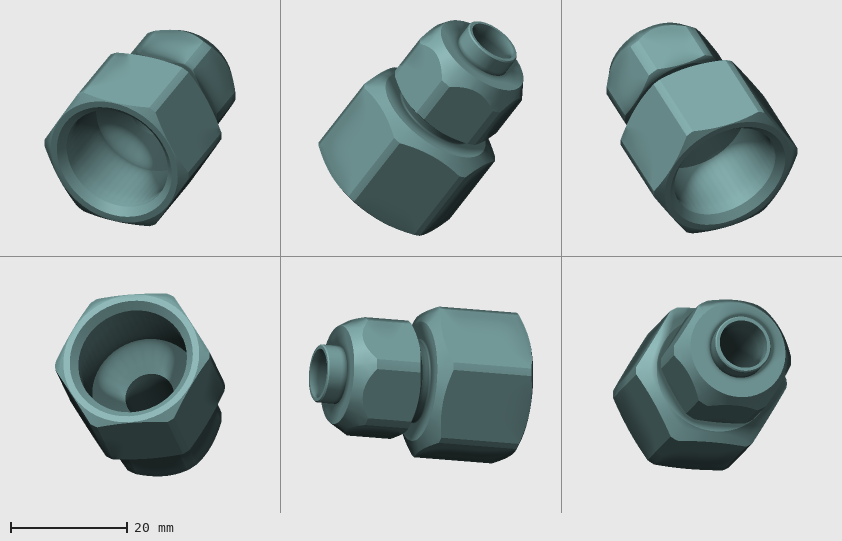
import cadquery as cq
import math

TOTAL_LENGTH = 35.0
CHAMFER_SLOPE = math.tan(math.radians(30))

BODY_FLATS = 24.0
BODY_CORNER_DIAMETER = 27.0
BODY_LENGTH = 17.0
BODY_FRONT_FACE_DIAMETER = 23.8
BODY_REAR_FACE_DIAMETER = 20.65

NUT_FLATS = 19.0
NUT_CORNER_DIAMETER = 21.0
NUT_START = 19.5
NUT_END = 31.57
NUT_FRONT_FACE_DIAMETER = 18.65
NUT_REAR_FACE_DIAMETER = 17.0

NECK_DIAMETER = 14.0
NECK_FILLET = 0.35
COLLAR_DIAMETER = 16.0
TUBE_DIAMETER = 10.0
TUBE_CHAMFER = 0.2

THROUGH_DIAMETER = 8.5
SOCKET_DIAMETER = 19.0
SOCKET_MOUTH_DIAMETER = 21.55
SOCKET_DEPTH = 14.0
SEAT_HALF_ANGLE = 60.0


def revolve_profile(points):
    """Revolve closed (radius, Y) points around the Y axis."""
    return cq.Workplane("XY").polyline(points).close().revolve(360, (0, 0, 0), (0, 1, 0))


def hex_nut(start, end, flats, corner_diameter, front_diameter, rear_diameter, rear_slope):
    """Hexagon with flats facing +Z and -Z, its corners turned down and chamfered at both ends."""
    corner_radius = corner_diameter / 2
    front_radius = front_diameter / 2
    rear_radius = rear_diameter / 2
    front_depth = (corner_radius - front_radius) * CHAMFER_SLOPE
    rear_depth = (corner_radius - rear_radius) * rear_slope
    hexagon = (
        cq.Workplane("XZ", origin=(0, start, 0))
        .polygon(6, flats / math.cos(math.radians(30)))
        .extrude(start - end)
    )
    envelope = revolve_profile([
        (0, start),
        (front_radius, start),
        (corner_radius, start + front_depth),
        (corner_radius, end - rear_depth),
        (rear_radius, end),
        (0, end),
    ])
    return hexagon.intersect(envelope)


def neck_and_tube():
    """Round core: neck, 45 degree collar under the nut, and tube."""
    neck_radius = NECK_DIAMETER / 2
    collar_radius = COLLAR_DIAMETER / 2
    tube_radius = TUBE_DIAMETER / 2
    return revolve_profile([
        (0, BODY_LENGTH / 2),
        (neck_radius, BODY_LENGTH / 2),
        (neck_radius, NUT_START - (collar_radius - neck_radius)),
        (collar_radius, NUT_START),
        (tube_radius, NUT_START),
        (tube_radius, TOTAL_LENGTH - TUBE_CHAMFER),
        (tube_radius - TUBE_CHAMFER, TOTAL_LENGTH),
        (0, TOTAL_LENGTH),
    ])


def neck_fillet():
    """Concave fillet ring where the neck meets the body nut."""
    neck_radius = NECK_DIAMETER / 2
    arc_inset = NECK_FILLET * (1 - math.sqrt(0.5))
    return (
        cq.Workplane("XY")
        .moveTo(TUBE_DIAMETER / 2, BODY_LENGTH)
        .lineTo(neck_radius + NECK_FILLET, BODY_LENGTH)
        .threePointArc(
            (neck_radius + arc_inset, BODY_LENGTH + arc_inset),
            (neck_radius, BODY_LENGTH + NECK_FILLET),
        )
        .lineTo(TUBE_DIAMETER / 2, BODY_LENGTH + NECK_FILLET)
        .close()
        .revolve(360, (0, 0, 0), (0, 1, 0))
    )


def bore():
    """Countersunk socket, conical seat and through hole."""
    mouth_radius = SOCKET_MOUTH_DIAMETER / 2
    socket_radius = SOCKET_DIAMETER / 2
    through_radius = THROUGH_DIAMETER / 2
    seat_length = (socket_radius - through_radius) / math.tan(math.radians(SEAT_HALF_ANGLE))
    return revolve_profile([
        (0, 0),
        (mouth_radius, 0),
        (socket_radius, mouth_radius - socket_radius),
        (socket_radius, SOCKET_DEPTH),
        (through_radius, SOCKET_DEPTH + seat_length),
        (through_radius, TOTAL_LENGTH),
        (0, TOTAL_LENGTH),
    ])


body_nut = hex_nut(
    0, BODY_LENGTH, BODY_FLATS, BODY_CORNER_DIAMETER,
    BODY_FRONT_FACE_DIAMETER, BODY_REAR_FACE_DIAMETER, CHAMFER_SLOPE,
)
clamping_nut = hex_nut(
    NUT_START, NUT_END, NUT_FLATS, NUT_CORNER_DIAMETER,
    NUT_FRONT_FACE_DIAMETER, NUT_REAR_FACE_DIAMETER, 1 / CHAMFER_SLOPE,
)

result = body_nut.union(clamping_nut).union(neck_and_tube()).union(neck_fillet()).cut(bore())